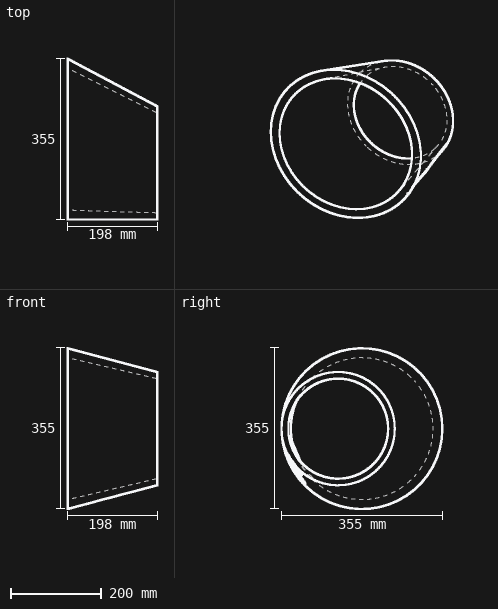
import cadquery as cq

length = 198.0
large_diameter = 355.0
small_diameter = 250.0
large_wall = 21.0
small_wall = 15.0

small_end_offset = -(large_diameter - small_diameter) / 2


def eccentric_cone(start_diameter, end_diameter):
    """Solid skew cone from the large end at X = 0 to the small end at X = length."""
    return (
        cq.Workplane("YZ")
        .circle(start_diameter / 2)
        .workplane(offset=length)
        .center(small_end_offset, 0)
        .circle(end_diameter / 2)
        .loft(ruled=True, combine=True)
    )


outer_body = eccentric_cone(large_diameter, small_diameter)
bore = eccentric_cone(large_diameter - 2 * large_wall, small_diameter - 2 * small_wall)

result = outer_body.cut(bore)